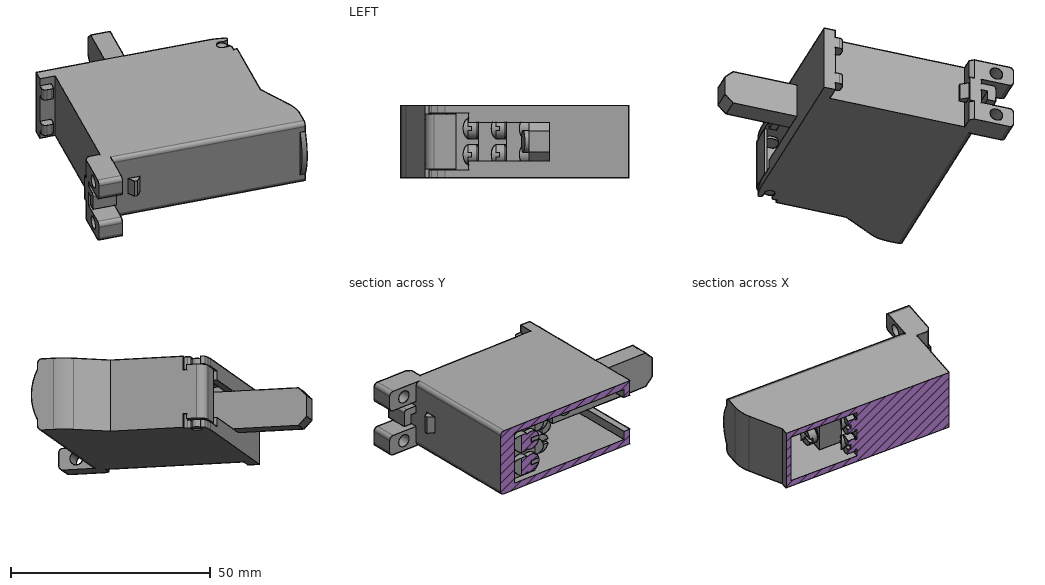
import cadquery as cq
import math

LENGTH = 69.7
HEIGHT = 57.2
WIDTH = 18.2
HALF_WIDTH = WIDTH / 2
EDGE_RADIUS = 1.1

FRONT_X = 19.2
BACK_X = 61.1
SHOULDER_Y = 51.1
CORNER_RADIUS = 2.3
SLOPE_START_X = 43.8
SLOPE_ANGLE = math.radians(30)
HUMP_END_X = 57.0
RAIL_TOP_Y = 4.05
RAIL_LEFT_X = 22.15
RAIL_RIGHT_X = 58.1

FOOT_TOP_Y = 6.2
FOOT_CHAMFER_X = 1.1
FOOT_CHAMFER_Y = 0.85
LUG_GAP_HALF = 3.55
LUG_HOLE_X = 65.1
LUG_HOLE_Z = 6.3
LUG_HOLE_DIAMETER = 3.35
TAB_END_X = 64.95
TAB_HALF = 2.3
TAB_RADIUS = 0.8
TAB_SLOT_LENGTH = 1.6
TAB_SLOT_TOP_Z = 0.35

HOOK_END_X = 24.4
HOOK_TOP_Y = 3.0
HOOK_INNER_Z = 3.9
HOOK_WIDTH = 3.1
HOOK_TOP_RADIUS = 0.7
CLIP_TIP_X = 56.2
CLIP_TIP_Y = 2.15

BUMP_CENTER_Y = 12.05
BUMP_HALF_BASE = 1.6
BUMP_HALF_TIP = 0.4
BACK_REACH = 1.6
LIP_HEIGHT = 1.4
LIP_RADIUS = 13.95

BLADE_BOTTOM_Y = 19.9
BLADE_THICKNESS = 5.15
BLADE_TOP_Y = BLADE_BOTTOM_Y + BLADE_THICKNESS
BLADE_HALF = 4.8
BLADE_CHAMFER = 2.15
BUTTON_X = 29.3
BUTTON_RADIUS = 2.7
BUTTON_FRONT_HEIGHT = 1.0
BUTTON_BACK_HEIGHT = 1.9

PANEL_THICKNESS = 1.95
PANEL_BACK_X = FRONT_X + PANEL_THICKNESS
OPENING_HALF = 7.1
OPENING_BOTTOM_Y = 40.15
CAVITY_TOP_Y = 49.6
STEP_FRONT_X = 32.4
STEP_DEPTH = 8.0
STEP_RISE = 7.05
TOP_STEP_Y = 37.7
STEP_COUNT = 3
TERMINAL_Z = 3.3
TERMINAL_RADIUS = 2.6
TERMINAL_INSET = 2.7
NECK_RADIUS = 2.15
NECK_HEIGHT = 0.4
SCREW_HEIGHT = 2.65
SCREW_SLOT_WIDTH = 1.1
SCREW_SLOT_DEPTH = 0.9
POST_SPACING = 2.5
POST_FRONT_HEIGHT = 3.8
POST_BACK_HEIGHT = 0.7

COVER_BOTTOM_Y = 43.3
COVER_THICKNESS = 0.6
COVER_GAP = 0.2
COVER_HALF = OPENING_HALF - COVER_GAP
COVER_LID_END_X = 24.05
LID_GAP_END_X = 25.0
LID_GAP_FLOOR_Y = 50.1
LID_GAP_INNER_Z = 5.6

RELIEF_BOTTOM_Y = 46.15
RELIEF_KNEE_X = 19.4
RELIEF_KNEE_Y = 48.0
HORN_RADIUS = 0.6
HORN_SHOULDER_Y = LID_GAP_FLOOR_Y - HORN_RADIUS
HORN_FRONT_X = 19.65
HORN_TOP_X = HORN_FRONT_X + HORN_RADIUS
HORN_BACK_X = HORN_TOP_X + HORN_RADIUS
THROAT_HALF = 1.05
THROAT_LIP_X = 23.4

PIN_X = 22.2
PIN_Y = 47.95
PIN_RADIUS = 1.3
PIN_RECESS = 0.35
EAR_RADIUS = 2.2
EAR_THICKNESS = 0.7


def box(x0, x1, y0, y1, z0, z1):
    """Axis-aligned block between opposite corners."""
    return cq.Workplane("XY").box(x1 - x0, y1 - y0, z1 - z0, centered=False).translate((x0, y0, z0))


def prism(sketch, half_depth):
    """Extrude a closed XY outline equally to both sides of the mid-plane."""
    return sketch.extrude(half_depth, both=True)


def make_housing():
    """Side outline with the finger hump and the rail notch."""
    rise = HEIGHT - SHOULDER_Y
    run = HUMP_END_X - SLOPE_START_X
    radius = (run * math.tan(SLOPE_ANGLE) - rise) / (1 / math.cos(SLOPE_ANGLE) - 1)

    def hump_point(angle):
        return (HUMP_END_X - radius * math.sin(angle), HEIGHT - radius * (1 - math.cos(angle)))

    outline = (
        cq.Workplane("XY")
        .moveTo(FRONT_X, 0)
        .lineTo(FRONT_X, SHOULDER_Y - CORNER_RADIUS)
        .radiusArc((FRONT_X + CORNER_RADIUS, SHOULDER_Y), CORNER_RADIUS)
        .lineTo(SLOPE_START_X, SHOULDER_Y)
        .lineTo(*hump_point(SLOPE_ANGLE))
        .threePointArc(hump_point(SLOPE_ANGLE / 2), (HUMP_END_X, HEIGHT))
        .lineTo(BACK_X, HEIGHT)
        .lineTo(BACK_X, 0)
        .lineTo(RAIL_RIGHT_X, 0)
        .lineTo(RAIL_RIGHT_X, RAIL_TOP_Y)
        .lineTo(RAIL_LEFT_X, RAIL_TOP_Y)
        .lineTo(RAIL_LEFT_X, 0)
        .close()
    )
    housing = prism(outline, HALF_WIDTH)
    return housing.edges("|Y and >X").fillet(EDGE_RADIUS)


def make_foot():
    """Two lugs with a hooked latch tab between them."""
    foot = box(RAIL_RIGHT_X, LENGTH, 0, FOOT_TOP_Y, -HALF_WIDTH, HALF_WIDTH)
    foot = foot.cut(box(BACK_X, LENGTH, 0, FOOT_TOP_Y, -LUG_GAP_HALF, LUG_GAP_HALF))
    foot = foot.edges("|Y and >X").fillet(EDGE_RADIUS)

    tab = box(BACK_X, TAB_END_X, 0, FOOT_TOP_Y, -TAB_HALF, TAB_HALF)
    tab = tab.edges("|Y and >X and >Z").fillet(TAB_RADIUS)
    slot_end = BACK_X + TAB_SLOT_LENGTH
    tab = tab.cut(box(BACK_X, slot_end, 0, FOOT_TOP_Y, -TAB_HALF, TAB_SLOT_TOP_Z))

    return foot.union(tab)


def cut_foot_details(body):
    """Lug holes, and the lead-in chamfers on both sides of the clip."""
    for side in (-1, 1):
        hole = (
            cq.Workplane("XZ")
            .center(LUG_HOLE_X, side * LUG_HOLE_Z)
            .circle(LUG_HOLE_DIAMETER / 2)
            .extrude(-FOOT_TOP_Y)
        )
        chamfer = (
            cq.Workplane("XY")
            .polyline([
                (RAIL_RIGHT_X, 0),
                (RAIL_RIGHT_X + FOOT_CHAMFER_X, 0),
                (RAIL_RIGHT_X, FOOT_CHAMFER_Y),
            ])
            .close()
            .extrude(HALF_WIDTH - LUG_GAP_HALF)
        )
        chamfer_start = LUG_GAP_HALF if side > 0 else -HALF_WIDTH
        body = body.cut(hole).cut(chamfer.translate((0, 0, chamfer_start)))
    return body


def make_rail_grips():
    """Two rounded hooks at the front of the notch and a wedge clip at the rear."""
    grips = prism(
        cq.Workplane("XY").polyline([
            (CLIP_TIP_X, HOOK_TOP_Y),
            (RAIL_RIGHT_X, HOOK_TOP_Y),
            (RAIL_RIGHT_X, FOOT_CHAMFER_Y),
            (CLIP_TIP_X, CLIP_TIP_Y),
        ]).close(),
        TAB_HALF,
    )
    for z0 in (HOOK_INNER_Z, -HOOK_INNER_Z - HOOK_WIDTH):
        hook = box(FRONT_X, HOOK_END_X, 0, HOOK_TOP_Y, z0, z0 + HOOK_WIDTH)
        hook = hook.edges("|Z and >X and <Y").fillet(EDGE_RADIUS)
        hook = hook.edges("|Z and >X and >Y").fillet(HOOK_TOP_RADIUS)
        grips = grips.union(hook)
    return grips


def make_back_details():
    """Tapered bump above the foot and a bowed lip along the top of the back."""
    bump_profile = (
        cq.Workplane("XY")
        .polyline([
            (BACK_X, BUMP_CENTER_Y + BUMP_HALF_BASE),
            (BACK_X + BACK_REACH, BUMP_CENTER_Y + BUMP_HALF_TIP),
            (BACK_X + BACK_REACH, BUMP_CENTER_Y - BUMP_HALF_TIP),
            (BACK_X, BUMP_CENTER_Y - BUMP_HALF_BASE),
        ])
        .close()
    )
    bump = prism(bump_profile, TAB_HALF)

    half_chord = math.sqrt(LIP_RADIUS ** 2 - (LIP_RADIUS - BACK_REACH) ** 2)
    lip = (
        cq.Workplane("XZ", origin=(0, HEIGHT, 0))
        .moveTo(BACK_X, -half_chord)
        .threePointArc((BACK_X + BACK_REACH, 0), (BACK_X, half_chord))
        .close()
        .extrude(LIP_HEIGHT)
    )
    return bump.union(lip)


def cut_cavity(body):
    """Hollow behind the front panel, its window, and the stair for the terminals."""
    first_step_y = TOP_STEP_Y - (STEP_COUNT - 1) * STEP_RISE
    body = body.cut(
        box(PANEL_BACK_X, STEP_FRONT_X, BLADE_BOTTOM_Y, CAVITY_TOP_Y, -OPENING_HALF, OPENING_HALF)
    )
    for step in range(STEP_COUNT):
        x0 = STEP_FRONT_X + step * STEP_DEPTH
        floor_y = first_step_y + step * STEP_RISE
        body = body.cut(box(x0, x0 + STEP_DEPTH, floor_y, CAVITY_TOP_Y, -OPENING_HALF, OPENING_HALF))
    body = body.cut(
        box(FRONT_X, PANEL_BACK_X, BLADE_BOTTOM_Y, OPENING_BOTTOM_Y, -BLADE_HALF, BLADE_HALF)
    )
    return body.cut(
        box(FRONT_X, PANEL_BACK_X, OPENING_BOTTOM_Y, COVER_BOTTOM_Y, -OPENING_HALF, OPENING_HALF)
    )


def cut_cover_outline(body):
    """Free the cover from the panel and the side walls, leaving its lid attached."""
    body = body.cut(
        box(
            FRONT_X + COVER_THICKNESS, PANEL_BACK_X,
            COVER_BOTTOM_Y, CAVITY_TOP_Y,
            -OPENING_HALF, OPENING_HALF,
        )
    )
    for z0 in (LID_GAP_INNER_Z, -HALF_WIDTH):
        z1 = z0 + HALF_WIDTH - LID_GAP_INNER_Z
        body = body.cut(box(COVER_LID_END_X, LID_GAP_END_X, LID_GAP_FLOOR_Y, SHOULDER_Y, z0, z1))
    for z0 in (COVER_HALF, -OPENING_HALF):
        gap = box(FRONT_X, COVER_LID_END_X, COVER_BOTTOM_Y, SHOULDER_Y, z0, z0 + COVER_GAP)
        body = body.cut(gap)
    return body


def make_wall_relief():
    """Outline trimmed off each side wall around the cover hinge."""
    return (
        cq.Workplane("XY")
        .moveTo(FRONT_X, SHOULDER_Y)
        .lineTo(FRONT_X, RELIEF_BOTTOM_Y)
        .lineTo(RELIEF_KNEE_X, RELIEF_KNEE_Y)
        .lineTo(HORN_FRONT_X, HORN_SHOULDER_Y)
        .radiusArc((HORN_TOP_X, LID_GAP_FLOOR_Y), HORN_RADIUS)
        .radiusArc((HORN_BACK_X, HORN_SHOULDER_Y), HORN_RADIUS)
        .lineTo(PIN_X - THROAT_HALF, PIN_Y)
        .lineTo(PIN_X + THROAT_HALF, PIN_Y)
        .lineTo(THROAT_LIP_X, HORN_SHOULDER_Y)
        .radiusArc((THROAT_LIP_X + HORN_RADIUS, LID_GAP_FLOOR_Y), HORN_RADIUS)
        .lineTo(LID_GAP_END_X, LID_GAP_FLOOR_Y)
        .lineTo(LID_GAP_END_X, SHOULDER_Y)
        .close()
    )


def add_hinges(body):
    """Relieve both side walls and fit the cover ears with their recessed hinge pins."""
    wall = HALF_WIDTH - COVER_HALF
    for side in (-1, 1):
        relief = make_wall_relief().extrude(side * wall).translate((0, 0, side * COVER_HALF))
        cover_side = cq.Workplane("XY", origin=(PIN_X, PIN_Y, side * COVER_HALF))
        pin = cover_side.circle(PIN_RADIUS).extrude(side * wall)
        ear = cover_side.circle(EAR_RADIUS).extrude(-side * EAR_THICKNESS)
        body = body.cut(relief).cut(pin.translate((0, 0, side * (wall - PIN_RECESS))))
        body = body.union(ear).union(pin.translate((0, 0, -side * PIN_RECESS)))
    return body


def make_sloped_post(radius, front_height, back_height):
    """Round upright post whose flat top slopes evenly from front to back."""
    side_profile = (
        cq.Workplane("XY")
        .polyline([(-radius, 0), (radius, 0), (radius, back_height), (-radius, front_height)])
        .close()
    )
    cylinder = cq.Workplane("XZ").circle(radius).extrude(-max(front_height, back_height))
    return cylinder.intersect(prism(side_profile, radius))


def make_blade():
    """Flat blade with a chamfered tip, running back to the stair, with a button on top."""
    blade = box(0, STEP_FRONT_X, BLADE_BOTTOM_Y, BLADE_TOP_Y, -BLADE_HALF, BLADE_HALF)
    blade = blade.edges("|Y and <X").chamfer(BLADE_CHAMFER)
    button = make_sloped_post(BUTTON_RADIUS, BUTTON_FRONT_HEIGHT, BUTTON_BACK_HEIGHT)
    button = button.translate((BUTTON_X, BLADE_TOP_Y, 0))
    return blade.union(button)


def make_screw():
    """Slotted screw head on a narrower neck."""
    neck = cq.Workplane("XZ").circle(NECK_RADIUS).extrude(-NECK_HEIGHT)
    head = (
        cq.Workplane("XZ", origin=(0, NECK_HEIGHT, 0))
        .circle(TERMINAL_RADIUS)
        .extrude(NECK_HEIGHT - SCREW_HEIGHT)
    )
    slot = box(
        -TERMINAL_RADIUS, TERMINAL_RADIUS,
        SCREW_HEIGHT - SCREW_SLOT_DEPTH, SCREW_HEIGHT,
        -SCREW_SLOT_WIDTH / 2, SCREW_SLOT_WIDTH / 2,
    )
    return neck.union(head).cut(slot)


def add_terminals(body):
    """A pair of posts on every step, with screws in front except on the lowest one."""
    post = make_sloped_post(TERMINAL_RADIUS, POST_FRONT_HEIGHT, POST_BACK_HEIGHT)
    screw = make_screw()
    for step in range(STEP_COUNT):
        x = STEP_FRONT_X + step * STEP_DEPTH + TERMINAL_INSET
        y = TOP_STEP_Y - (STEP_COUNT - 1 - step) * STEP_RISE
        for z in (-TERMINAL_Z, TERMINAL_Z):
            body = body.union(post.translate((x + POST_SPACING, y, z)))
            if step > 0:
                body = body.union(screw.translate((x, y, z)))
    return body


body = make_housing().union(make_foot()).union(make_rail_grips())
body = cut_foot_details(body)
body = body.union(make_back_details())
body = cut_cavity(body)
body = cut_cover_outline(body)
body = add_hinges(body)
body = body.union(make_blade())
result = add_terminals(body)